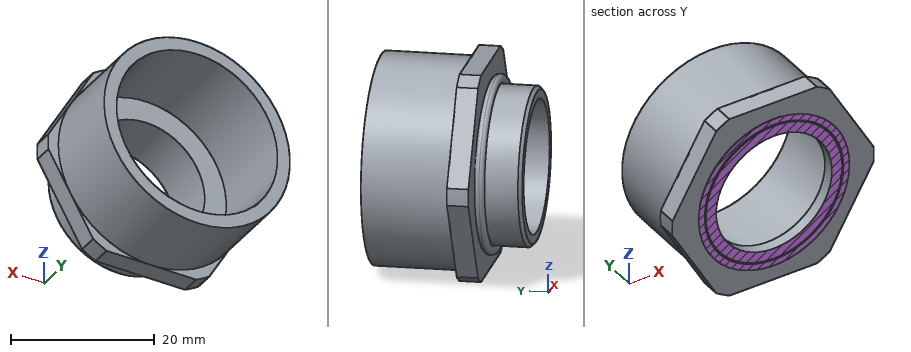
import cadquery as cq
import math

hexagon_sides = 6
across_flats = 30.0
across_corners = 33.3
body_diameter = across_flats
spigot_diameter = 22.57
bore_diameter = 19.0

bore_length = 8.0
cavity_diameter = 25.95

body_length = 12.5
hex_thickness = 3.03
spigot_length = 6.5
spigot_chamfer = 0.5

ring_outer_diameter = 25.3
ring_section_diameter = 1.4

sharp_corners = across_flats / math.cos(math.pi / hexagon_sides)
hex_front = -hex_thickness
spigot_front = hex_front - spigot_length


def cylinder(diameter, y_front, length):
    """Solid cylinder on the Y axis, growing toward +Y from y_front."""
    plane = cq.Workplane("XZ", origin=(0, y_front, 0))
    return plane.circle(diameter / 2).extrude(-length)


def hexagon_flange():
    """Hexagon with corners on the X axis, rounded off by a cylinder."""
    plane = cq.Workplane("XZ", origin=(0, hex_front, 0))
    hexagon = plane.polygon(hexagon_sides, sharp_corners).extrude(-hex_thickness)
    return hexagon.intersect(cylinder(across_corners, hex_front, hex_thickness))


def spigot():
    """Front spigot with a chamfered end."""
    plain = cylinder(spigot_diameter, spigot_front, spigot_length)
    return plain.faces("<Y").edges().chamfer(spigot_chamfer)


def sealing_ring():
    """Round-section ring touching the front face of the hexagon."""
    section_radius = ring_section_diameter / 2
    center_radius = ring_outer_diameter / 2 - section_radius
    section_center = (center_radius, hex_front - section_radius)
    section = cq.Workplane("XY").center(*section_center).circle(section_radius)
    return section.revolve(360, (-center_radius, 0, 0), (-center_radius, 1, 0))


def through_passage():
    """Negative of the inside: front bore and the wider rear cavity."""
    shoulder = spigot_front + bore_length
    bore = cylinder(bore_diameter, spigot_front, bore_length)
    cavity = cylinder(cavity_diameter, shoulder, body_length - shoulder)
    return bore.union(cavity)


body = cylinder(body_diameter, 0, body_length)
solid_adapter = body.union(hexagon_flange()).union(spigot()).union(sealing_ring())
result = solid_adapter.cut(through_passage())